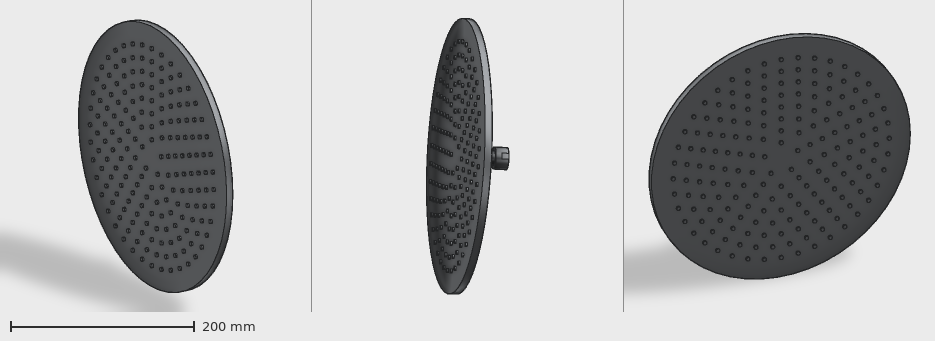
import cadquery as cq
import math

PLATE_DIAMETER = 300.0
PLATE_THICKNESS = 8.0

NOZZLE_DIAMETER = 4.5
NOZZLE_HEIGHT = 1.8
RING_COUNT = 8
FIRST_RING_RADIUS = 20.0
RING_SPACING = 15.0
NOZZLES_PER_RING_STEP = 5

SOCKET_DIAMETER = 33.5
SOCKET_LENGTH = 27.3
CONE_BASE_DIAMETER = 20.0
CONE_LENGTH = 3.0

NECK_DIAMETER = 16.0
NECK_LENGTH = 4.0
COLLAR_DIAMETER = 24.3
COLLAR_LENGTH = 14.5
FLAT_CHORD = 6.5
FLAT_LENGTH = 8.0

PLATE_BACK_Y = PLATE_THICKNESS
SOCKET_END_Y = PLATE_BACK_Y + SOCKET_LENGTH
NECK_START_Y = SOCKET_END_Y + CONE_LENGTH
COLLAR_START_Y = NECK_START_Y + NECK_LENGTH
COLLAR_END_Y = COLLAR_START_Y + COLLAR_LENGTH


def cylinder_along_y(diameter, start_y, end_y):
    """Solid cylinder centred on the Y axis between two Y positions."""
    return (
        cq.Workplane("XZ", origin=(0, start_y, 0))
        .circle(diameter / 2)
        .extrude(start_y - end_y)
    )


def make_cone():
    """Cone from the end of the socket down to the neck diameter."""
    tip_radius = NECK_DIAMETER / 2
    base_radius = CONE_BASE_DIAMETER / 2
    return (
        cq.Workplane("XY")
        .moveTo(0, SOCKET_END_Y)
        .lineTo(base_radius, SOCKET_END_Y)
        .lineTo(tip_radius, NECK_START_Y)
        .lineTo(0, NECK_START_Y)
        .close()
        .revolve(360, (0, 0, 0), (0, 1, 0))
    )


def nozzle_centers():
    """Nozzle (x, z) centres; each ring has one nozzle straight up and five more than the ring inside it."""
    centers = []
    for ring in range(RING_COUNT):
        radius = FIRST_RING_RADIUS + ring * RING_SPACING
        count = NOZZLES_PER_RING_STEP * (ring + 1)
        for index in range(count):
            angle = 2 * math.pi * index / count
            centers.append((radius * math.sin(angle), radius * math.cos(angle)))
    return centers


def make_head():
    """Plate, nozzles and socket in one piece; the tip of the cone carries the connector."""
    plate = cylinder_along_y(PLATE_DIAMETER, 0, PLATE_BACK_Y)
    socket = cylinder_along_y(SOCKET_DIAMETER, PLATE_BACK_Y, SOCKET_END_Y)
    nozzles = (
        cq.Workplane("XZ")
        .pushPoints(nozzle_centers())
        .circle(NOZZLE_DIAMETER / 2)
        .extrude(NOZZLE_HEIGHT)
    )
    return plate.union(socket).union(make_cone()).union(nozzles)


def make_collar():
    """Collar with two short wrench flats, facing -X and +X, at its free end."""
    collar_radius = COLLAR_DIAMETER / 2
    flat_distance = math.sqrt(collar_radius**2 - (FLAT_CHORD / 2) ** 2)
    collar = cylinder_along_y(COLLAR_DIAMETER, COLLAR_START_Y, COLLAR_END_Y)
    for side in (-1, 1):
        flat_cutter = (
            cq.Workplane("XY")
            .box(collar_radius, FLAT_LENGTH, COLLAR_DIAMETER)
            .translate((side * (flat_distance + collar_radius / 2), COLLAR_END_Y - FLAT_LENGTH / 2, 0))
        )
        collar = collar.cut(flat_cutter)
    return collar


def make_connector():
    """Neck and collar in one piece, standing on the tip of the cone."""
    neck = cylinder_along_y(NECK_DIAMETER, NECK_START_Y, COLLAR_START_Y)
    return neck.union(make_collar())


head = make_head()
connector = make_connector()

result = cq.Compound.makeCompound([head.val(), connector.val()])